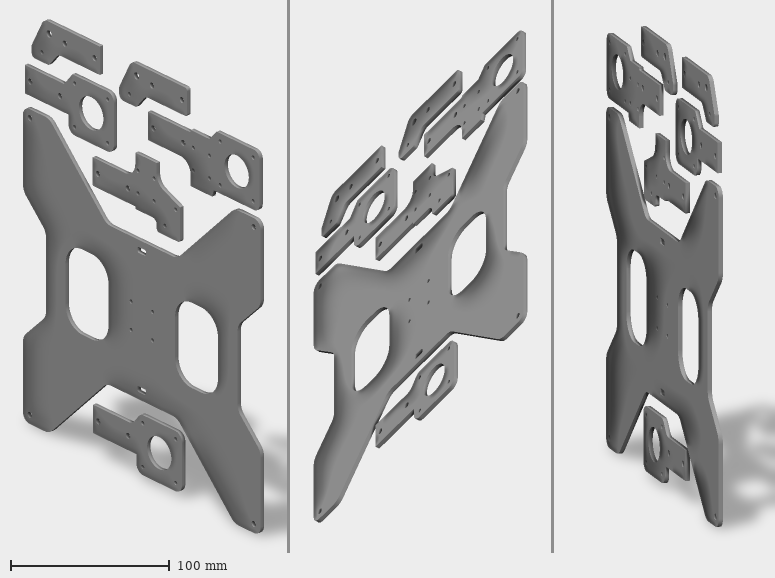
import cadquery as cq
import math


OVERALL_HEIGHT = 290.0
THICKNESS = 3.0

SMALL_HOLE = 3.0
SCREW_HOLE = 4.0
PIVOT_HOLE = 5.0

LARGE_RADIUS = 10.0
MEDIUM_RADIUS = 6.0
SMALL_RADIUS = 2.0

CARRIER_SIZE = 221.5
CARRIER_HALF = CARRIER_SIZE / 2
LEG_TOP_INNER = 86.5
WAIST_TOP_HALF = 32.8
WAIST_HEIGHT = 112.2
LEG_SIDE_END = 51.3
WAIST_HALF_WIDTH = 89.3
WAIST_SIDE_HALF = 30.0
CORNER_HOLE_PITCH = 208.8
CENTRE_HOLE_PITCH = 20.0
WINDOW_WIDTH = 40.0
WINDOW_HEIGHT = 60.0
WINDOW_RADIUS = 15.7
WINDOW_OFFSET = 51.0
SLOT_LENGTH = 8.0
SLOT_WIDTH = 4.0
SLOT_RADIUS = 1.5
SLOT_OFFSET = 49.0

ARM_WIDTH = 20.0
ARM_HALF = ARM_WIDTH / 2
ARM_END_INSET = 5.0
ARM_HOLE_PITCH = 27.8
ARM_HOLES = [(ARM_END_INSET, 0), (ARM_END_INSET + ARM_HOLE_PITCH, 0)]

MOTOR_SIZE = 42.3
MOTOR_HALF = MOTOR_SIZE / 2
MOTOR_HOLE_PITCH = 30.7

TAB_WIDTH = 20.0
TAB_START = 39.7
TAB_END = TAB_START + TAB_WIDTH
TAB_STEP = 1.7
TAB_STEP_RADIUS = 1.0
TAB_HOLE_PITCH_X = 15.0
TAB_HOLE_PITCH_Z = 16.0


def rounded_plate(corners):
    """Plate with the outline (x, z, radius); a zero radius leaves that corner sharp."""
    arcs = []
    for i, (x, z, radius) in enumerate(corners):
        corner = cq.Vector(x, z)
        before = cq.Vector(*corners[i - 1][:2])
        after = cq.Vector(*corners[(i + 1) % len(corners)][:2])
        to_before = (before - corner).normalized()
        to_after = (after - corner).normalized()
        half_angle = to_before.getAngle(to_after) / 2
        tangent_length = radius / math.tan(half_angle)
        arc_depth = radius / math.sin(half_angle) - radius
        start = corner + to_before * tangent_length
        middle = corner + (to_before + to_after).normalized() * arc_depth
        end = corner + to_after * tangent_length
        arcs.append((radius, start, middle, end))

    outline = cq.Workplane("XZ").moveTo(*arcs[-1][3].toTuple()[:2])
    for radius, start, middle, end in arcs:
        outline = outline.lineTo(*start.toTuple()[:2])
        if radius > 0:
            outline = outline.threePointArc(middle.toTuple()[:2], end.toTuple()[:2])
    return outline.close().extrude(-THICKNESS)


def drill(plate, points, diameter):
    """Through holes at the given (x, z) points."""
    tools = cq.Workplane("XZ").pushPoints(points).circle(diameter / 2).extrude(-THICKNESS)
    return plate.cut(tools)


def rectangle_corners(centre_x, centre_z, pitch_x, pitch_z):
    """The four (x, z) corners of a hole pattern."""
    return [
        (centre_x + sx * pitch_x / 2, centre_z + sz * pitch_z / 2)
        for sx in (-1, 1)
        for sz in (-1, 1)
    ]


def cut_windows(plate, points, width, height, radius):
    """Rectangular through openings with rounded corners."""
    tools = cq.Workplane("XZ").pushPoints(points).rect(width, height).extrude(-THICKNESS)
    return plate.cut(tools.edges("|Y").fillet(radius))


def make_carrier():
    quarter = [
        (WAIST_TOP_HALF, WAIST_HEIGHT / 2, LARGE_RADIUS),
        (LEG_TOP_INNER, CARRIER_HALF, LARGE_RADIUS),
        (CARRIER_HALF, CARRIER_HALF, MEDIUM_RADIUS),
        (CARRIER_HALF, LEG_SIDE_END, LARGE_RADIUS),
        (WAIST_HALF_WIDTH, WAIST_SIDE_HALF, LARGE_RADIUS),
    ]
    right_half = quarter + [(x, -z, r) for x, z, r in reversed(quarter)]
    left_half = [(-x, z, r) for x, z, r in reversed(right_half)]
    plate = rounded_plate(right_half + left_half)

    windows = [(-WINDOW_OFFSET, 0), (WINDOW_OFFSET, 0)]
    plate = cut_windows(plate, windows, WINDOW_WIDTH, WINDOW_HEIGHT, WINDOW_RADIUS)
    slots = [(0, -SLOT_OFFSET), (0, SLOT_OFFSET)]
    plate = cut_windows(plate, slots, SLOT_LENGTH, SLOT_WIDTH, SLOT_RADIUS)
    corner_holes = rectangle_corners(0, 0, CORNER_HOLE_PITCH, CORNER_HOLE_PITCH)
    plate = drill(plate, corner_holes, SCREW_HOLE)
    centre_holes = rectangle_corners(0, 0, CENTRE_HOLE_PITCH, CENTRE_HOLE_PITCH)
    return drill(plate, centre_holes, SMALL_HOLE)


def drill_motor_face(plate, centre_x, centre_z, bore):
    plate = drill(plate, [(centre_x, centre_z)], bore)
    screws = rectangle_corners(centre_x, centre_z, MOTOR_HOLE_PITCH, MOTOR_HOLE_PITCH)
    return drill(plate, screws, SMALL_HOLE)


def drill_tab(plate, far_row_z):
    """Four holes centred across the tab: two on the arm's centre line, two at far_row_z."""
    centre_x = (TAB_START + TAB_END) / 2
    holes = rectangle_corners(centre_x, far_row_z / 2, TAB_HOLE_PITCH_X, TAB_HOLE_PITCH_Z)
    return drill(plate, holes, SMALL_HOLE)


MOUNT_CENTRE_X = 61.8
MOUNT_CENTRE_Z = -1.5
MOUNT_SHOULDER_START = 36.5
MOUNT_SHOULDER_END = 44.5


def make_motor_mount(bore, shoulder_radius):
    left = MOUNT_CENTRE_X - MOTOR_HALF
    right = MOUNT_CENTRE_X + MOTOR_HALF
    bottom = MOUNT_CENTRE_Z - MOTOR_HALF
    top = MOUNT_CENTRE_Z + MOTOR_HALF
    plate = rounded_plate([
        (0, ARM_HALF, 0),
        (MOUNT_SHOULDER_START, ARM_HALF, shoulder_radius),
        (MOUNT_SHOULDER_END, top, shoulder_radius),
        (right, top, MEDIUM_RADIUS),
        (right, bottom, MEDIUM_RADIUS),
        (left, bottom, MEDIUM_RADIUS),
        (left, -ARM_HALF, 0),
        (0, -ARM_HALF, 0),
    ])
    plate = drill(plate, ARM_HOLES, SCREW_HOLE)
    return drill_motor_face(plate, MOUNT_CENTRE_X, MOUNT_CENTRE_Z, bore)


TABBED_CENTRE_X = 82.5
TABBED_CENTRE_Z = -1.7
TABBED_BORE = 22.5
TABBED_RADIUS = 5.0
TABBED_TAB_BOTTOM = -27.8
TABBED_SHOULDER_START = 57.0
TABBED_SHOULDER_END = 64.0
TABBED_NOTCH_X = 61.2


def make_tabbed_motor_mount():
    right = TABBED_CENTRE_X + MOTOR_HALF
    bottom = TABBED_CENTRE_Z - MOTOR_HALF
    top = TABBED_CENTRE_Z + MOTOR_HALF
    tab_top = ARM_HALF + TAB_STEP
    plate = rounded_plate([
        (0, ARM_HALF, 0),
        (TAB_START, ARM_HALF, TAB_STEP_RADIUS),
        (TAB_START, tab_top, 0),
        (TABBED_SHOULDER_START, tab_top, 0),
        (TABBED_SHOULDER_END, top, 0),
        (right, top, TABBED_RADIUS),
        (right, bottom, TABBED_RADIUS),
        (TABBED_NOTCH_X, bottom, 0),
        (TAB_END, TABBED_TAB_BOTTOM, 0),
        (TAB_START, TABBED_TAB_BOTTOM, 0),
        (TAB_START, -ARM_HALF, LARGE_RADIUS),
        (0, -ARM_HALF, 0),
    ])
    plate = drill(plate, ARM_HOLES, SCREW_HOLE)
    plate = drill_tab(plate, -TAB_HOLE_PITCH_Z)
    return drill_motor_face(plate, TABBED_CENTRE_X, TABBED_CENTRE_Z, TABBED_BORE)


IDLER_TAB_TOP = 27.8
IDLER_RIGHT = 81.5
IDLER_BOTTOM = -20.3
IDLER_SLANT_START = 13.5
IDLER_SLANT_END = 4.5
IDLER_INNER_RADIUS = 4.0
IDLER_ARM_RADIUS = 1.0
IDLER_HOLES = [(77.5, 1.5), (67.3, -13.5)]


def make_idler_bracket():
    tab_bottom = -ARM_HALF - TAB_STEP
    plate = rounded_plate([
        (0, ARM_HALF, 0),
        (TAB_START, ARM_HALF, LARGE_RADIUS),
        (TAB_START, IDLER_TAB_TOP, 0),
        (TAB_END, IDLER_TAB_TOP, 0),
        (TAB_END, IDLER_SLANT_START, LARGE_RADIUS),
        (IDLER_RIGHT, IDLER_SLANT_END, 0),
        (IDLER_RIGHT, IDLER_BOTTOM, SMALL_RADIUS),
        (TAB_END, IDLER_BOTTOM, SMALL_RADIUS),
        (TAB_END, tab_bottom, IDLER_INNER_RADIUS),
        (TAB_START, tab_bottom, TAB_STEP_RADIUS),
        (TAB_START, -ARM_HALF, 0),
        (0, -ARM_HALF, IDLER_ARM_RADIUS),
    ])
    plate = drill(plate, ARM_HOLES, SCREW_HOLE)
    plate = drill_tab(plate, TAB_HOLE_PITCH_Z)
    return drill(plate, IDLER_HOLES, SMALL_HOLE)


LEVER_TOP_CORNER = -52.2
LEVER_LEFT = -63.5
LEVER_LEFT_TOP = -12.2
LEVER_BOTTOM = -20.5
LEVER_FOOT_END = -47.5
LEVER_INNER_CORNER = -39.0
LEVER_PIVOT = (-47.3, 1.5)
LEVER_FOOT_HOLE = (-54.0, -14.0)


def make_lever(end_radius, foot_radius):
    plate = rounded_plate([
        (0, ARM_HALF, end_radius),
        (0, -ARM_HALF, end_radius),
        (LEVER_INNER_CORNER, -ARM_HALF, MEDIUM_RADIUS),
        (LEVER_FOOT_END, LEVER_BOTTOM, SMALL_RADIUS),
        (LEVER_LEFT, LEVER_BOTTOM, foot_radius),
        (LEVER_LEFT, LEVER_LEFT_TOP, foot_radius),
        (LEVER_TOP_CORNER, ARM_HALF, MEDIUM_RADIUS),
    ])
    plate = drill(plate, [(-x, z) for x, z in ARM_HOLES], SCREW_HOLE)
    plate = drill(plate, [LEVER_PIVOT], PIVOT_HOLE)
    return drill(plate, [LEVER_FOOT_HOLE], SMALL_HOLE)


UPPER_MOUNT_AT = (-109.0, 0, 130.2)
LOWER_MOUNT_AT = (-45.5, 0, -85.5)
TABBED_MOUNT_AT = (5.8, 0, 139.5)
IDLER_AT = (-45.8, 0, 88.5)
LEFT_LEVER_AT = (-39.1, 0, 168.8)
RIGHT_LEVER_AT = (42.3, 0, OVERALL_HEIGHT - CARRIER_HALF - ARM_HALF)

carrier = make_carrier()
upper_motor_mount = make_motor_mount(bore=23.0, shoulder_radius=0)
lower_motor_mount = make_motor_mount(bore=22.5, shoulder_radius=MEDIUM_RADIUS)
tabbed_motor_mount = make_tabbed_motor_mount()
idler_bracket = make_idler_bracket()
left_lever = make_lever(end_radius=0, foot_radius=3.0)
right_lever = make_lever(end_radius=SMALL_RADIUS, foot_radius=4.0)

result = cq.Compound.makeCompound([
    carrier.val(),
    upper_motor_mount.translate(UPPER_MOUNT_AT).val(),
    lower_motor_mount.translate(LOWER_MOUNT_AT).val(),
    tabbed_motor_mount.translate(TABBED_MOUNT_AT).val(),
    idler_bracket.translate(IDLER_AT).val(),
    left_lever.translate(LEFT_LEVER_AT).val(),
    right_lever.translate(RIGHT_LEVER_AT).val(),
])